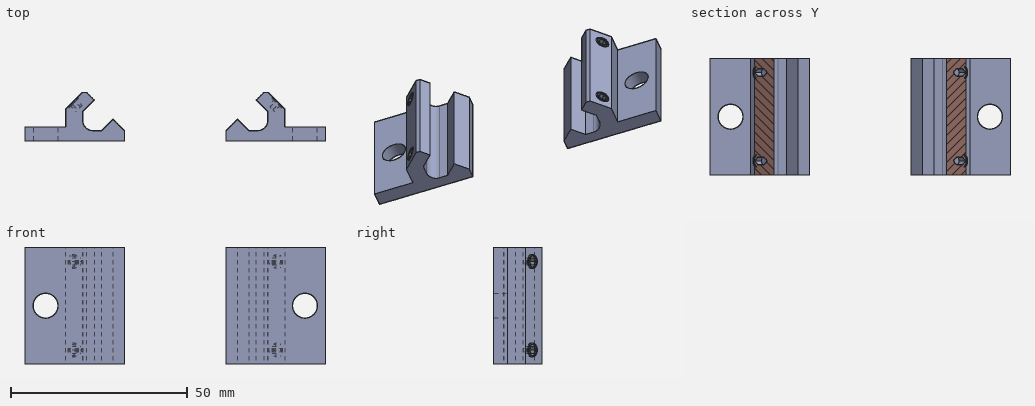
import cadquery as cq
import math

TOTAL_WIDTH = 85.0
HEIGHT = 33.0
DEPTH = 13.8

PLATE_WIDTH = 28.2
PLATE_THICKNESS = 4.0
MOUNT_HOLE_DIAMETER = 7.0
MOUNT_HOLE_INSET = 5.9

WALL_X = 11.6
WALL_THICKNESS = 4.85
WALL_TOP = 9.1
ARM_TIP_X = 19.6
ARM_START = 8.3

GROOVE_FLOOR = 3.0
GROOVE_RADIUS = 2.8
LIP_HEIGHT = 6.2
LIP_SIDE_HEIGHT = 2.9

SCREW_DIAMETER = 3.9
RIM_BEVEL = 0.4
SOCKET_ACROSS_FLATS = 2.0
SOCKET_DEPTH = 2.55
SCREW_END_INSET = 4.0
SCREW_Y = 11.05


def hook_profile():
    """Outline in XY, with the free end of the plate at x = 0."""
    inner_x = WALL_X + WALL_THICKNESS
    arm_tip_y = ARM_START + ARM_TIP_X - inner_x
    flat_start_x = WALL_X + DEPTH - WALL_TOP
    flat_end_x = ARM_TIP_X - (DEPTH - arm_tip_y)
    lip_x = PLATE_WIDTH - (LIP_HEIGHT - LIP_SIDE_HEIGHT)
    groove_end_x = lip_x - (LIP_HEIGHT - GROOVE_FLOOR)
    arc_offset = GROOVE_RADIUS * (1 - math.sqrt(0.5))
    return (
        cq.Workplane("XY")
        .moveTo(0, 0)
        .lineTo(PLATE_WIDTH, 0)
        .lineTo(PLATE_WIDTH, LIP_SIDE_HEIGHT)
        .lineTo(lip_x, LIP_HEIGHT)
        .lineTo(groove_end_x, GROOVE_FLOOR)
        .lineTo(inner_x + GROOVE_RADIUS, GROOVE_FLOOR)
        .threePointArc(
            (inner_x + arc_offset, GROOVE_FLOOR + arc_offset),
            (inner_x, GROOVE_FLOOR + GROOVE_RADIUS),
        )
        .lineTo(inner_x, ARM_START)
        .lineTo(ARM_TIP_X, arm_tip_y)
        .lineTo(flat_end_x, DEPTH)
        .lineTo(flat_start_x, DEPTH)
        .lineTo(WALL_X, WALL_TOP)
        .lineTo(WALL_X, PLATE_THICKNESS)
        .lineTo(0, PLATE_THICKNESS)
        .close()
    )


def cut_mount_hole(body):
    """Round hole through the plate, halfway up."""
    hole = (
        cq.Workplane("XZ")
        .center(MOUNT_HOLE_INSET, HEIGHT / 2)
        .circle(MOUNT_HOLE_DIAMETER / 2)
        .extrude(-PLATE_THICKNESS)
    )
    return body.cut(hole)


def screw_detail():
    """Cutter at the origin, sinking along -Z: a rim groove around a hex socket."""
    radius = SCREW_DIAMETER / 2
    rim_groove = (
        cq.Workplane("XZ")
        .polyline([(radius - RIM_BEVEL, 0), (radius, 0), (radius, -RIM_BEVEL)])
        .close()
        .revolve(360, (0, 0), (0, 1))
    )
    across_corners = SOCKET_ACROSS_FLATS / math.cos(math.pi / 6)
    socket = (
        cq.Workplane("XY")
        .transformed(rotate=(0, 0, 90))
        .polygon(6, across_corners)
        .extrude(-SOCKET_DEPTH)
    )
    return rim_groove.union(socket)


def cut_screw_details(body):
    """Two details, square to the sloping outer face of the arm, near its ends."""
    screw_x = WALL_X + SCREW_Y - WALL_TOP
    detail = screw_detail().val()
    for z in (SCREW_END_INSET, HEIGHT - SCREW_END_INSET):
        seat = cq.Plane(origin=(screw_x, SCREW_Y, z), xDir=(0, 0, 1), normal=(-1, 1, 0))
        body = body.cut(cq.Workplane(detail.moved(cq.Location(seat))))
    return body


def clamp_half():
    body = hook_profile().extrude(HEIGHT)
    return cut_screw_details(cut_mount_hole(body))


left_clamp = clamp_half().translate((-TOTAL_WIDTH / 2, 0, 0))
clamps = []
for mirrored in (False, True):
    clamp = left_clamp.mirror("YZ") if mirrored else left_clamp
    clamps.append(clamp.val())

result = cq.Compound.makeCompound(clamps)